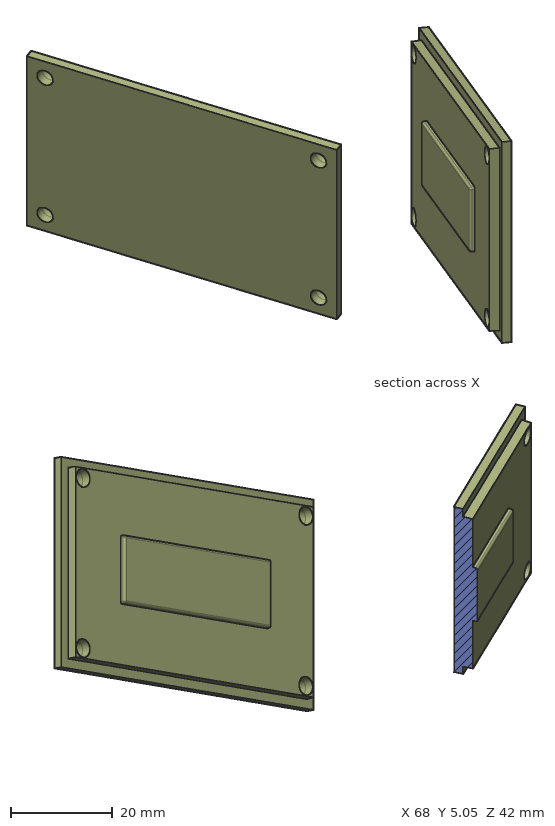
import cadquery as cq

plate_length = 68
plate_height = 42.0
plate_thickness = 2.0

lip_inset = 1.9
lip_thickness = 2.05
lip_length = plate_length - 2 * lip_inset
lip_height = plate_height - 2 * lip_inset

pad_length = 39.8
pad_height = 13.75
pad_thickness = 1.0
pad_fillet = 0.5

lip_draft = 2.5
pad_draft = 5

hole_diameter = 3.5
hole_edge_distance = 4.0
hole_spacing_x = plate_length - 2 * hole_edge_distance
hole_spacing_z = plate_height - 2 * hole_edge_distance


def slab(length, height, thickness, start_y, draft=0):
    """Block centred in X and Z, reaching from start_y towards +Y and narrowing by the draft angle."""
    start_plane = cq.Workplane("XZ", origin=(0, start_y, 0))
    return start_plane.rect(length, height).extrude(-thickness, taper=draft)


def raised_pad(start_y):
    """Drafted pad with rounded corners and a rounded back rim."""
    pad = slab(pad_length, pad_height, pad_thickness, start_y, pad_draft)
    wall_corners = pad.edges("not(#Y)")
    return wall_corners.fillet(pad_fillet).faces(">Y").edges().fillet(pad_fillet)


def corner_holes(thickness, start_y, draft=0):
    """Four corner holes that start at start_y and widen towards +Y by the draft angle."""
    start_plane = cq.Workplane("XZ", origin=(0, start_y, 0))
    centres = start_plane.rarray(hole_spacing_x, hole_spacing_z, 2, 2)
    return centres.circle(hole_diameter / 2).extrude(-thickness, taper=-draft)


plate = slab(plate_length, plate_height, plate_thickness, 0)
plate = plate.cut(corner_holes(plate_thickness, 0))

lip = slab(lip_length, lip_height, lip_thickness, plate_thickness, lip_draft)
lip = lip.cut(corner_holes(lip_thickness, plate_thickness, lip_draft))

pad = raised_pad(plate_thickness + lip_thickness)

result = plate.union(lip).union(pad)